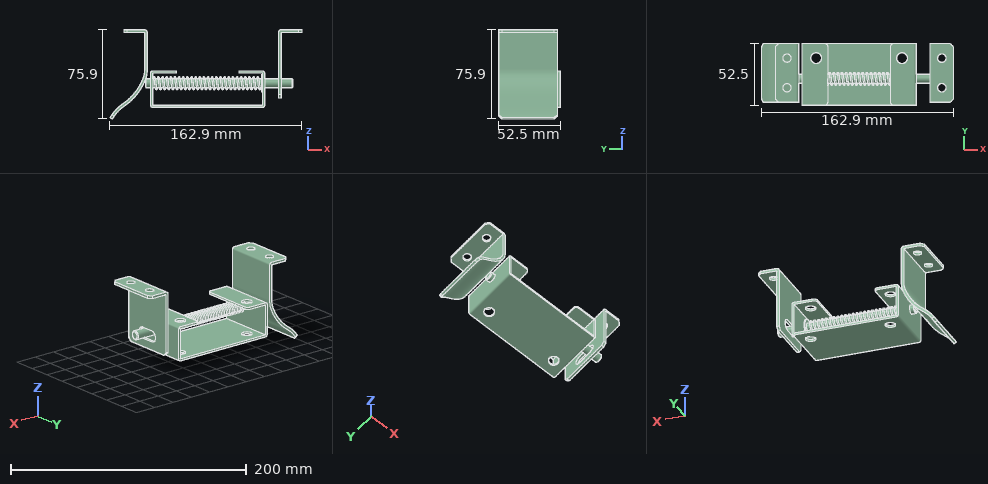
import cadquery as cq
import math


bracket_thickness = 2.5
bracket_width = 50.0
bracket_top = 45.5
flange_length = 20.0
corner_chamfer = 3.0
screw_hole_diameter = 7.0
screw_hole_pitch = 25.1
screw_hole_setback = 10.0
back_face = 30.0
bracket_middle = back_face - bracket_width / 2

strike_face = -2.6
lip_top = 11.2
lip_bends = [
    (20.8, 20.9),
    (47.2, 35.1),
    (-32.9, 27.0),
]

keeper_face = 108.5
keeper_bottom = -12.5
slot_length = 22.0
slot_height = 10.0

housing_length = 96.9
housing_width = 52.5
housing_thickness = 2.0
housing_top = 10.5
housing_bottom = -20.5
housing_flange_length = 22.0
housing_corner_radius = 3.1
housing_hole_diameter = 9.0
housing_hole_inset = 12.0
housing_middle = back_face - housing_width / 2

bolt_diameter = 8.0
bolt_length = 125.1
bolt_start = -4.4
bolt_chamfer = 0.8
washer_diameter = 14.7
washer_thickness = 1.0
wire_diameter = 1.3
spring_outer_diameter = 11.0
spring_turns = 25.5
spring_end_gap = 0.7

inner_left = housing_thickness
inner_right = housing_length - housing_thickness


def cylinder_along_x(diameter, x_start, length):
    return cq.Workplane("YZ", origin=(x_start, 0, 0)).circle(diameter / 2).extrude(length)


def extrude_profile(profile, width, middle):
    """Turn a closed XZ profile into a strip centred on y = middle."""
    return profile.extrude(width / 2, both=True).translate((0, middle, 0))


def drill_screw_holes(bracket, x):
    holes = (
        cq.Workplane("XY", origin=(x, bracket_middle, 0))
        .rarray(1.6, screw_hole_pitch, 1, 2)
        .circle(screw_hole_diameter / 2)
        .extrude(bracket_top)
    )
    return bracket.cut(holes)


def make_strike(bolt):
    outer = bracket_thickness / 2
    flange_end = strike_face - flange_length

    def offset(centre, radius, tilt):
        """Point at a signed radius from centre, along the strip normal at this tilt."""
        return (centre[0] + radius * math.cos(tilt), centre[1] - radius * math.sin(tilt))

    bends = []
    tilt = 0.0
    start = (strike_face - outer, lip_top)
    for radius, degrees in lip_bends:
        centre = offset(start, -radius, tilt)
        end_tilt = tilt + math.copysign(math.radians(degrees), radius)
        bends.append((centre, radius, tilt, end_tilt))
        start = offset(centre, radius, end_tilt)
        tilt = end_tilt

    profile = (
        cq.Workplane("XZ")
        .moveTo(flange_end, bracket_top)
        .lineTo(strike_face, bracket_top)
        .lineTo(strike_face, lip_top)
    )
    for centre, radius, first, last in bends:
        face_radius = radius + outer
        profile = profile.threePointArc(
            offset(centre, face_radius, (first + last) / 2), offset(centre, face_radius, last)
        )
    profile = profile.lineTo(*offset(start, -outer, tilt))
    for centre, radius, first, last in reversed(bends):
        face_radius = radius - outer
        profile = profile.threePointArc(
            offset(centre, face_radius, (first + last) / 2), offset(centre, face_radius, first)
        )
    profile = (
        profile.lineTo(strike_face - bracket_thickness, bracket_top - bracket_thickness)
        .lineTo(flange_end, bracket_top - bracket_thickness)
        .close()
    )

    strike = extrude_profile(profile, bracket_width, bracket_middle)
    strike = strike.edges("|Y and >Z and >X").fillet(bracket_thickness)
    strike = strike.edges("|Z").edges("<X").chamfer(corner_chamfer)
    tip_normal = cq.Vector(math.cos(tilt), 0, -math.sin(tilt))
    strike = strike.edges(cq.selectors.ParallelDirSelector(tip_normal)).chamfer(corner_chamfer)
    strike = drill_screw_holes(strike, flange_end + screw_hole_setback)
    return strike.cut(bolt)


def make_keeper():
    flange_end = keeper_face + flange_length
    profile = (
        cq.Workplane("XZ")
        .moveTo(keeper_face, keeper_bottom)
        .lineTo(keeper_face, bracket_top)
        .lineTo(flange_end, bracket_top)
        .lineTo(flange_end, bracket_top - bracket_thickness)
        .lineTo(keeper_face + bracket_thickness, bracket_top - bracket_thickness)
        .lineTo(keeper_face + bracket_thickness, keeper_bottom)
        .close()
    )
    keeper = extrude_profile(profile, bracket_width, bracket_middle)
    keeper = keeper.edges("|Y and >Z and <X").fillet(bracket_thickness)
    keeper = keeper.faces(">X").edges("|Z").chamfer(corner_chamfer)
    keeper = keeper.faces("<Z").edges("|X").chamfer(corner_chamfer)
    slot = (
        cq.Workplane("YZ", origin=(keeper_face, bracket_middle, 0))
        .slot2D(slot_length, slot_height)
        .extrude(bracket_thickness)
    )
    return drill_screw_holes(keeper.cut(slot), flange_end - screw_hole_setback)


def make_housing(bolt):
    middle_x = housing_length / 2
    housing_height = housing_top - housing_bottom

    block = cq.Workplane("XY", origin=(middle_x, housing_middle, housing_bottom)).box(
        housing_length, housing_width, housing_height, centered=(True, True, False)
    )
    block = block.edges("|Y").fillet(housing_thickness)

    cavity = cq.Workplane("XY", origin=(middle_x, housing_middle, housing_bottom + housing_thickness)).box(
        housing_length - 2 * housing_thickness,
        housing_width,
        housing_height - 2 * housing_thickness,
        centered=(True, True, False),
    )
    opening = (
        cq.Workplane("XY", origin=(middle_x, housing_middle, 0))
        .rect(housing_length - 2 * housing_flange_length, housing_width)
        .extrude(housing_top)
    )
    housing = block.cut(cavity).cut(opening)
    flange_corners = cq.selectors.LengthNthSelector(0)
    housing = housing.edges("|Z").edges(flange_corners).fillet(housing_corner_radius)

    hole_y = bracket_middle + screw_hole_pitch / 2
    for x in (housing_hole_inset, housing_length - housing_hole_inset):
        hole = (
            cq.Workplane("XY", origin=(x, hole_y, housing_bottom))
            .circle(housing_hole_diameter / 2)
            .extrude(housing_height)
        )
        housing = housing.cut(hole)
    return housing.cut(bolt)


def make_bolt():
    bolt = cylinder_along_x(bolt_diameter, bolt_start, bolt_length)
    return bolt.faces("<X or >X").chamfer(bolt_chamfer)


def make_washer():
    face = inner_right - washer_thickness
    ring = cylinder_along_x(washer_diameter, face, washer_thickness)
    return ring.cut(cylinder_along_x(bolt_diameter, face, washer_thickness))


def make_spring():
    coil_radius = (spring_outer_diameter - wire_diameter) / 2
    end_inset = wire_diameter / 2 + spring_end_gap
    coil_start = inner_left + end_inset
    coil_length = inner_right - washer_thickness - end_inset - coil_start
    pitch = coil_length / spring_turns

    helix = cq.Wire.makeHelix(pitch, coil_length, coil_radius)
    wire_section = cq.Workplane("XZ", origin=(coil_radius, 0, 0)).circle(wire_diameter / 2)
    spring = wire_section.sweep(cq.Workplane(obj=helix), isFrenet=True)
    spring = spring.rotate((0, 0, 0), (0, 1, 0), 90).rotate((0, 0, 0), (1, 0, 0), 180)
    return spring.translate((coil_start, 0, 0))


bolt = make_bolt()
strike = make_strike(bolt)
keeper = make_keeper()
housing = make_housing(bolt)
washer = make_washer()
spring = make_spring()

result = cq.Compound.makeCompound(
    [strike.val(), keeper.val(), housing.val(), bolt.val(), washer.val(), spring.val()]
)